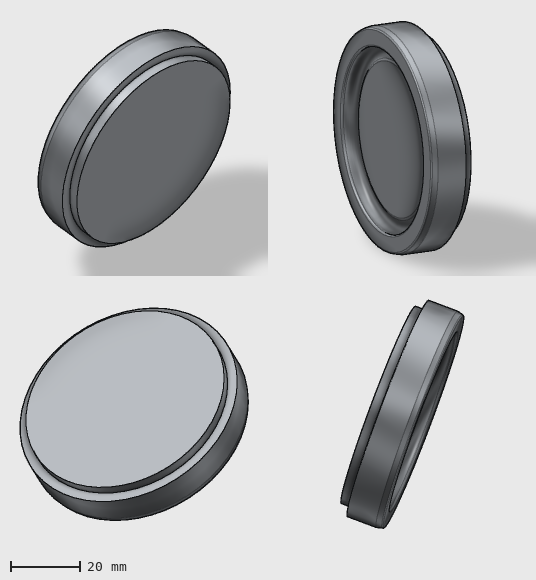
import cadquery as cq
import math

total_length = 14.0
rim_radius = 33.45
rim_end = 11.0
spigot_radius = 61.0 / 2

taper_length = 2.0
taper_angle = 15.0
corner_round = 0.5

mouth_radius = 27.5
mouth_round = 0.5
floor_depth = 3.5
floor_radius = 22.95
floor_round = 1.0
groove_round = 2.5


def revolve_about_x(outline):
    return outline.revolve(360, (0, 0, 0), (1, 0, 0))


def point_toward(start, target, distance):
    """Point at a distance from start, on the line to target."""
    length = math.dist(start, target)
    return tuple(a + (b - a) * distance / length for a, b in zip(start, target))


def tangent_center(first, first_radius, second, second_radius):
    """Center of the circle that passes both given centers at the given distances, on the -X side."""
    span = math.dist(first, second)
    along = (span**2 + first_radius**2 - second_radius**2) / (2 * span)
    across = math.sqrt(first_radius**2 - along**2)
    foot = point_toward(first, second, along)
    return (
        foot[0] + across * (second[1] - first[1]) / span,
        foot[1] - across * (second[0] - first[0]) / span,
    )


def make_body():
    front_radius = rim_radius - taper_length * math.tan(math.radians(taper_angle))
    outline = (
        cq.Workplane("XY")
        .lineTo(0, front_radius)
        .lineTo(taper_length, rim_radius)
        .lineTo(rim_end, rim_radius)
        .lineTo(rim_end, spigot_radius)
        .lineTo(total_length, spigot_radius)
        .lineTo(total_length, 0)
        .close()
    )
    return revolve_about_x(outline).faces("<X").edges().fillet(corner_round)


def make_recess():
    mouth_center = (mouth_round, mouth_radius + mouth_round)
    floor_center = (floor_depth + floor_round, floor_radius)

    groove_center = tangent_center(
        mouth_center, mouth_round + groove_round, floor_center, floor_round + groove_round
    )
    groove_start = point_toward(mouth_center, groove_center, mouth_round)
    groove_end = point_toward(floor_center, groove_center, floor_round)

    outline = (
        cq.Workplane("XY")
        .lineTo(0, mouth_center[1])
        .threePointArc((mouth_round, mouth_radius), groove_start)
        .threePointArc((groove_center[0] + groove_round, groove_center[1]), groove_end)
        .threePointArc(
            point_toward(floor_center, (floor_depth, groove_end[1]), floor_round),
            (floor_depth, floor_radius),
        )
        .lineTo(floor_depth, 0)
        .close()
    )
    return revolve_about_x(outline)


result = make_body().cut(make_recess())